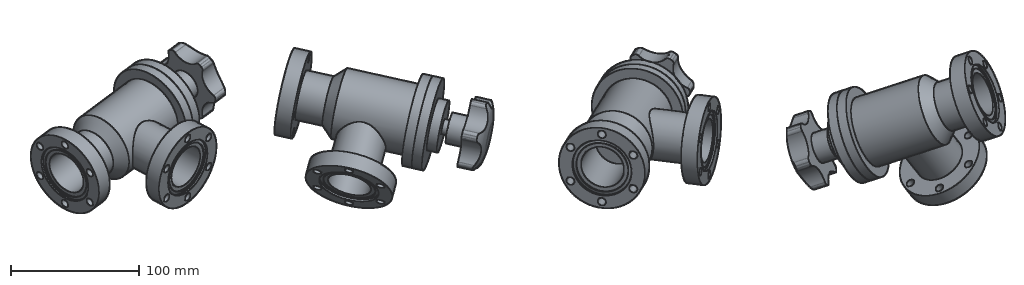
import cadquery as cq
import math


total_length = 164.0
outlet_reach = 35.0
cone_length = 9.0
knob_height = 18.0
hub_length = 14.0
stem_gap = 5.0
boss_height = 8.0
bonnet_flange_thickness = 8.0

body_radius = 28.5
body_wall = 2.6
collar_radius = 74.0 / 2
pipe_radius = 20.0
pipe_wall = 2.6
side_reach = 68.0
side_height = 68.0

port_flange_radius = 35.0
port_flange_thickness = 13.1
recess_radius = 24.0
recess_depth = 2.0
knife_radius = 21.0
knife_depth = 1.0
bolt_count = 6
bolt_circle_radius = 29.4
bolt_hole_diameter = 6.5

boss_radius = 21.0
stem_radius = 6.0
disc_radius = 21.3
disc_thickness = 5.7

hub_radius = 12.5
lobe_count = 6
lobe_tip_radius = 30.5
lobe_rounding = 3.0
scallop_radius = 15.9
valley_radius = 22.1
rim_height = 12.1
dome_radius = 33.1

bore_radius = pipe_radius - pipe_wall
chamber_radius = body_radius - body_wall
seat_y = outlet_reach + cone_length
disc_top_y = seat_y + disc_thickness
knob_base_y = total_length - knob_height
hub_base_y = knob_base_y - hub_length
boss_top_y = hub_base_y - stem_gap
bonnet_top_y = boss_top_y - boss_height
joint_y = bonnet_top_y - bonnet_flange_thickness
collar_base_y = joint_y - bonnet_flange_thickness

outlet_plane = cq.Plane(origin=(0, 0, 0), xDir=(0, 0, 1), normal=(0, 1, 0))
side_plane = cq.Plane(origin=(side_reach, side_height, 0), xDir=(0, 0, 1), normal=(-1, 0, 0))


def axial_cylinder(radius, start_y, end_y):
    """Cylinder on the valve axis between two Y positions."""
    return cq.Workplane(outlet_plane).workplane(offset=start_y).circle(radius).extrude(end_y - start_y)


def port_tube(plane, length):
    """Bolt flange and pipe, before the bore is cut."""
    flange = cq.Workplane(plane).circle(port_flange_radius).extrude(port_flange_thickness)
    pipe = cq.Workplane(plane).circle(pipe_radius).extrude(length)
    return flange.union(pipe)


def port_cutter(plane, bore_length):
    """Bore, bolt holes and knife-edge recess of one port."""
    bore = cq.Workplane(plane).circle(bore_radius).extrude(bore_length)
    bolt_holes = (
        cq.Workplane(plane)
        .polarArray(bolt_circle_radius, 0, 360, bolt_count)
        .circle(bolt_hole_diameter / 2)
        .extrude(port_flange_thickness)
    )
    recess = (
        cq.Workplane(plane)
        .transformed(rotate=(90, 0, 0))
        .lineTo(recess_radius, 0)
        .lineTo(recess_radius, recess_depth)
        .lineTo(knife_radius, knife_depth)
        .lineTo(knife_radius, recess_depth)
        .lineTo(0, recess_depth)
        .close()
        .revolve(360, (0, 0), (0, 1))
    )
    return bore.union(recess).union(bolt_holes)


def make_housing():
    """Body with cone, collar and both ports, in one piece."""
    body = (
        cq.Workplane("XY")
        .moveTo(0, outlet_reach)
        .lineTo(pipe_radius, outlet_reach)
        .lineTo(body_radius, seat_y)
        .lineTo(body_radius, collar_base_y)
        .lineTo(collar_radius, collar_base_y)
        .lineTo(collar_radius, joint_y)
        .lineTo(0, joint_y)
        .close()
        .revolve(360, (0, 0), (0, 1))
    )
    housing = body.union(port_tube(outlet_plane, outlet_reach)).union(port_tube(side_plane, side_reach))
    housing = housing.cut(axial_cylinder(chamber_radius, seat_y, joint_y))
    housing = housing.cut(port_cutter(outlet_plane, seat_y))
    return housing.cut(port_cutter(side_plane, side_reach))


def make_bonnet():
    """Cover flange with a raised boss, bored for the stem."""
    flange = axial_cylinder(collar_radius, joint_y, bonnet_top_y)
    boss = axial_cylinder(boss_radius, bonnet_top_y, boss_top_y)
    return flange.union(boss).cut(axial_cylinder(stem_radius, joint_y, boss_top_y))


def make_disc():
    """Valve disc resting on the seat around the outlet bore."""
    return axial_cylinder(disc_radius, seat_y, disc_top_y)


def make_stem():
    """Straight stem from the back of the valve disc to the knob hub."""
    return axial_cylinder(stem_radius, disc_top_y, hub_base_y)


def make_knob():
    """Scalloped hand knob with a domed top and a round hub."""
    lobes = axial_cylinder(lobe_tip_radius, knob_base_y, total_length)
    scallop_distance = valley_radius + scallop_radius
    for index in range(lobe_count):
        angle = math.radians((index + 0.5) * 360 / lobe_count)
        scallop = axial_cylinder(scallop_radius, knob_base_y, total_length).translate(
            (scallop_distance * math.cos(angle), 0, scallop_distance * math.sin(angle))
        )
        lobes = lobes.cut(scallop)
    lobes = lobes.edges("|Y").fillet(lobe_rounding)

    dome_drop = knob_height - rim_height
    flat_radius = lobe_tip_radius - math.sqrt(dome_radius**2 - (dome_radius - dome_drop) ** 2)
    half_angle = math.acos(1 - dome_drop / dome_radius) / 2
    arc_middle = (
        flat_radius + dome_radius * math.sin(half_angle),
        total_length - dome_radius * (1 - math.cos(half_angle)),
    )
    dome = (
        cq.Workplane("XY")
        .moveTo(0, knob_base_y)
        .lineTo(lobe_tip_radius, knob_base_y)
        .lineTo(lobe_tip_radius, knob_base_y + rim_height)
        .threePointArc(arc_middle, (flat_radius, total_length))
        .lineTo(0, total_length)
        .close()
        .revolve(360, (0, 0), (0, 1))
    )
    return lobes.intersect(dome).union(axial_cylinder(hub_radius, hub_base_y, knob_base_y))


housing = make_housing()
bonnet = make_bonnet()
disc = make_disc()
stem = make_stem()
knob = make_knob()

bodies = [housing, bonnet, disc, stem, knob]
result = cq.Compound.makeCompound([body.solids().val() for body in bodies])